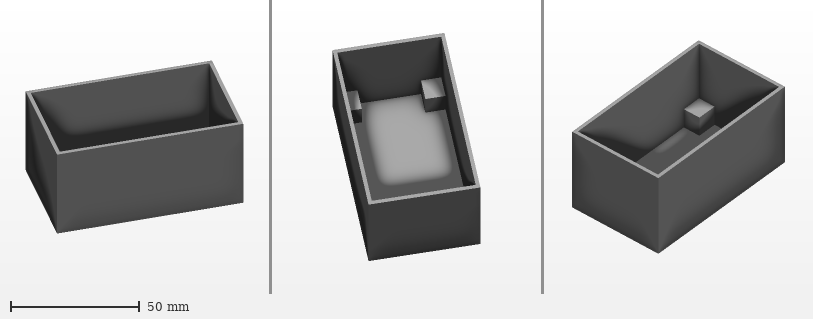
import cadquery as cq

length = 75.2
width = 44.2
height = 37.6
wall = 1.6
floor = 1.5

pad_width = 8.0
pad_length = 9.0
pad_height = 9.0

inner_width = width - 2 * wall
inner_length = length - 2 * wall


def make_box():
    """Hollow box, open at the top, standing on Z = 0."""
    outer = cq.Workplane("XY").box(width, length, height, centered=(True, True, False))
    cavity = (
        cq.Workplane("XY")
        .workplane(offset=floor)
        .rect(inner_width, inner_length)
        .extrude(height - floor)
    )
    return outer.cut(cavity)


def make_pad(side):
    """Corner pad rising from the floor; side is -1 or +1 along X."""
    center_x = side * (inner_width - pad_width) / 2
    center_y = -(inner_length - pad_length) / 2
    return (
        cq.Workplane("XY")
        .center(center_x, center_y)
        .rect(pad_width, pad_length)
        .extrude(floor + pad_height)
    )


result = make_box()
for side in (-1, 1):
    result = result.union(make_pad(side))